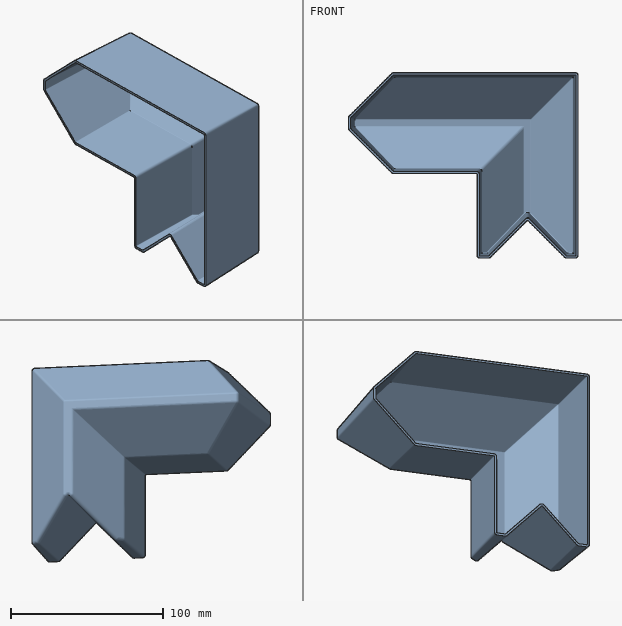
import cadquery as cq
import math

length = 150.7
height = 121.8
depth = 79.1
leg_width = 66.3
ridge_width = 6.0
end_flat = 8.3
draft_angle = 2.0
wall = 1.5
edge_radius = 2.0
lead = 6.0

half_leg = leg_width / 2
leg_axis_x = length - half_leg
leg_inner_x = length - leg_width
tip_run = (leg_width - end_flat) / 2
notch_rise = half_leg - end_flat
draft = math.radians(draft_angle)
far = 3 * length
small_radius = edge_radius - wall

front = cq.Plane(origin=(0, 0, height), xDir=(1, 0, 0), normal=(0, 1, 0))


def wire_at(outline, y):
    """Closed polygon in the plane at distance y behind the opening."""
    return cq.Workplane(front).workplane(offset=y).polyline(outline).close().wires().val()


def drafted_walls(inset):
    """Solid elbow with a pointed left end and a V notched bottom end, walls moved in by inset."""
    outline = [
        (tip_run, 0),
        (length, 0),
        (length, height),
        (length - end_flat, height),
        (leg_axis_x, height - notch_rise),
        (leg_inner_x + end_flat, height),
        (leg_inner_x, height),
        (leg_inner_x, leg_width),
        (tip_run, leg_width),
        (0, leg_width - tip_run),
        (0, tip_run),
    ]
    sections = []
    for y in (-lead, depth - inset):
        shift = inset / math.cos(draft) + y * math.tan(draft)
        sections.append(wire_at(outline, y).offset2D(-shift, kind="intersection")[0])
    return cq.Workplane(cq.Solid.makeLoft(sections, ruled=True))


def roof_envelope(inset):
    """Mitred L with 45 degree slopes up to the ridge, moved in by inset and overrunning both legs."""
    sections = []
    for y in (-lead, depth - inset):
        half_width = ridge_width / 2 + depth - y - inset * math.sqrt(2)
        outline = [
            (-far, half_leg - half_width),
            (leg_axis_x + half_width, half_leg - half_width),
            (leg_axis_x + half_width, far),
            (leg_axis_x - half_width, far),
            (leg_axis_x - half_width, half_leg + half_width),
            (-far, half_leg + half_width),
        ]
        sections.append(wire_at(outline, y))
    return cq.Workplane(cq.Solid.makeLoft(sections, ruled=True))


def sharp_core():
    """Solid inside the cavity, sharp but for the notch; growing it gives both faces of the sheet."""
    solid = drafted_walls(edge_radius).intersect(roof_envelope(edge_radius))
    notch_edge = cq.NearestToPointSelector((leg_axis_x, depth / 2, notch_rise))
    return solid.edges(notch_edge).fillet(edge_radius + small_radius)


def grown(solid, distance):
    """Offset a solid outward, rounding its convex edges with that radius."""
    return solid.union(solid.shell(distance, kind="arc"))


def round_knee(solid, radius):
    """Round the concave corner between the legs, up its wall edge and the tangent roof valley."""
    knee_edge = cq.NearestToPointSelector((leg_inner_x, depth / 4, height - leg_width))
    return solid.edges(knee_edge).fillet(radius)


core = sharp_core()
outer = round_knee(grown(core, edge_radius), small_radius)
cavity = round_knee(grown(core, small_radius), edge_radius)
in_front_of_opening = cq.Workplane("XZ").rect(far, far).extrude(2 * lead)
sheet = outer.cut(cavity).cut(in_front_of_opening)
result = cq.Workplane(sheet.solids().val())